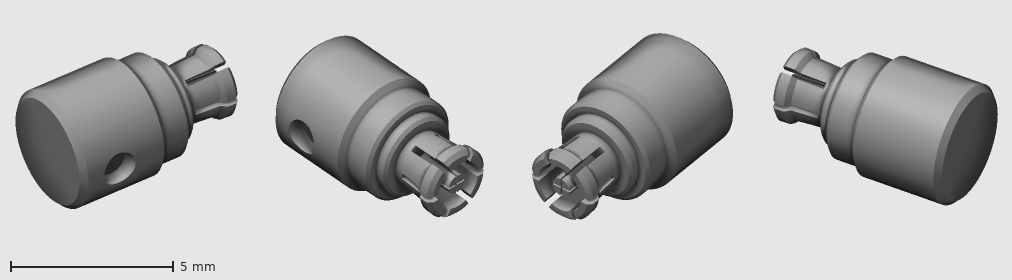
import cadquery as cq

length = 6.35
rear_y = -length / 2
tip_y = length / 2

body_radius = 1.975
body_chamfer = 0.2
body_length = 3.2
shoulder_chamfer = 0.2
collar_radius = 1.745
collar_end = 4.145
step_radius = 1.4
step_end = 4.55
edge_chamfer = 0.1
neck_radius = 0.97

finger_length = 1.51
finger_root_radius = 1.03
head_radius = 1.2
head_front_chamfer = 0.14
head_front_length = 0.45
head_back_radius = 1.19
head_back_chamfer = 0.16
bore_radius = 0.83
finger_slot_count = 6
finger_slot_width = 0.215

contact_root_radius = 0.375
contact_tip_radius = 0.33
contact_recess = 0.065
contact_slot_end = 1.25
contact_slot_tip_width = 0.06
contact_slot_root_width = 0.09

side_hole_radius = 0.585
side_hole_height = 1.37
side_hole_depth = 0.59


def cylinder_back_from(y, radius, depth):
    """Cylinder on the Y axis reaching from y towards the rear."""
    return cq.Workplane("XZ", origin=(0, y, 0)).circle(radius).extrude(depth)


def make_housing():
    """Revolve the stepped outline, including the flared finger head."""
    outline = [
        (0, rear_y),
        (body_radius - body_chamfer, rear_y),
        (body_radius, rear_y + body_chamfer),
        (body_radius, rear_y + body_length - shoulder_chamfer),
        (collar_radius, rear_y + body_length),
        (collar_radius, rear_y + collar_end - edge_chamfer),
        (collar_radius - edge_chamfer, rear_y + collar_end),
        (step_radius, rear_y + collar_end),
        (step_radius, rear_y + step_end - edge_chamfer),
        (step_radius - edge_chamfer, rear_y + step_end),
        (neck_radius, rear_y + step_end),
        (neck_radius, tip_y - finger_length),
        (finger_root_radius, tip_y - head_front_length - head_back_chamfer),
        (head_back_radius, tip_y - head_front_length),
        (head_radius, tip_y - head_front_chamfer),
        (head_radius - head_front_chamfer, tip_y),
        (0, tip_y),
    ]
    return cq.Workplane("XY").polyline(outline).close().revolve(360, (0, 0, 0), (0, 1, 0))


def make_finger_slots():
    """Radial slots from the tip to the finger roots, the first one towards +X."""
    slot = cq.Workplane("XY").box(
        body_radius, finger_length, finger_slot_width, centered=(False, False, True)
    )
    slot = slot.translate((0, tip_y - finger_length, 0))
    slots = slot
    for index in range(1, finger_slot_count):
        angle = index * 360 / finger_slot_count
        slots = slots.union(slot.rotate((0, 0, 0), (0, 1, 0), angle))
    return slots


def make_contact():
    """Centre contact standing on the bore floor, with a cross of slots that narrow towards its tip."""
    bore_floor = tip_y - finger_length
    slot_floor = tip_y - contact_slot_end
    contact_tip = tip_y - contact_recess
    outline = [
        (0, bore_floor),
        (contact_root_radius, bore_floor),
        (contact_root_radius, slot_floor),
        (contact_tip_radius, contact_tip),
        (0, contact_tip),
    ]
    contact = cq.Workplane("XY").polyline(outline).close().revolve(360, (0, 0, 0), (0, 1, 0))
    slot_outline = [
        (contact_tip, -contact_slot_tip_width / 2),
        (contact_tip, contact_slot_tip_width / 2),
        (slot_floor, contact_slot_root_width / 2),
        (slot_floor, -contact_slot_root_width / 2),
    ]
    slot = cq.Workplane("YZ").polyline(slot_outline).close().extrude(contact_root_radius, both=True)
    return contact.cut(slot).cut(slot.rotate((0, 0, 0), (0, 1, 0), 90))


def make_side_hole():
    """Blind hole entering the body from +X."""
    floor_x = body_radius - side_hole_depth
    return (
        cq.Workplane("YZ", origin=(floor_x, rear_y + side_hole_height, 0))
        .circle(side_hole_radius)
        .extrude(side_hole_depth)
    )


housing = make_housing()
housing = housing.cut(cylinder_back_from(tip_y, bore_radius, finger_length))
housing = housing.cut(make_finger_slots())
housing = housing.cut(make_side_hole())
result = housing.union(make_contact())